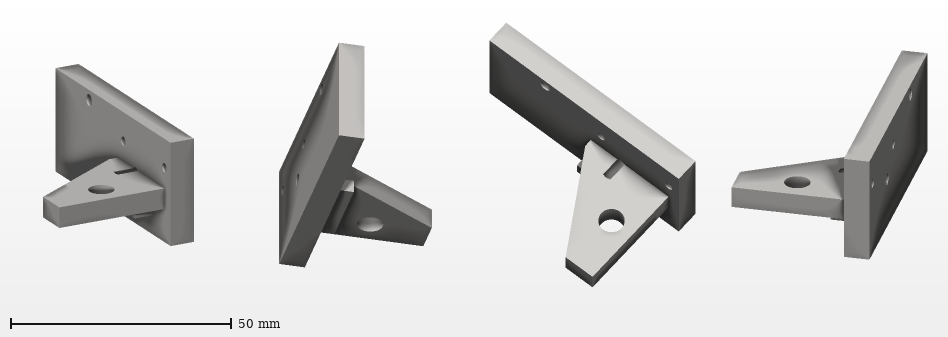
import cadquery as cq
import math

plate_length = 56.0
plate_thickness = 6.0
plate_height = 25.0

total_depth = 33.0

shelf_left = 30.0
shelf_right = 53.0
shelf_depth = total_depth - plate_thickness
shelf_top = plate_height - 12.0
shelf_thickness = 5.0
shelf_bottom = shelf_top - shelf_thickness
shelf_side_depth = 2.0
shelf_tip_left = 45.0
shelf_hole_diameter = 6.0
shelf_hole_x = 47.0
shelf_hole_y = -13.05

rib_length = 18.05
rib_depth = 5.0
rib_height = 3.0

large_hole_diameter = 2.8
large_hole_x = 16.4
large_hole_z = plate_height - 2.45
small_hole_diameter = 2.2
small_hole_z = plate_height - 7.0
small_hole_right_x = shelf_right
small_hole_spacing = 20.0

groove_diameter = 2.8
groove_x = 38.9
groove_z = shelf_top - 0.9
groove_length = 5.05
drill_tip_angle = 130.0


def bore_along_y(x, z, diameter, front_y):
    """Cylinder from the back of the plate to front_y."""
    return (
        cq.Workplane("XZ", origin=(x, plate_thickness, z))
        .circle(diameter / 2)
        .extrude(plate_thickness - front_y)
    )


def make_drill_tip():
    """Cone that closes the front end of the groove."""
    radius = groove_diameter / 2
    tip_length = radius / math.tan(math.radians(drill_tip_angle / 2))
    return cq.Workplane(
        cq.Solid.makeCone(
            radius,
            0,
            tip_length,
            pnt=cq.Vector(groove_x, -groove_length, groove_z),
            dir=cq.Vector(0, -1, 0),
        )
    )


def make_plate():
    return cq.Workplane("XY").box(plate_length, plate_thickness, plate_height, centered=False)


def make_shelf():
    outline = [
        (shelf_left, 0),
        (shelf_left, -shelf_side_depth),
        (shelf_tip_left, -shelf_depth),
        (shelf_right, -shelf_depth),
        (shelf_right, 0),
    ]
    shelf = (
        cq.Workplane("XY", origin=(0, 0, shelf_bottom))
        .polyline(outline)
        .close()
        .extrude(shelf_thickness)
    )
    hole = (
        cq.Workplane("XY", origin=(shelf_hole_x, shelf_hole_y, shelf_bottom))
        .circle(shelf_hole_diameter / 2)
        .extrude(shelf_thickness)
    )
    return shelf.cut(hole)


def make_rib():
    return (
        cq.Workplane("XY", origin=(shelf_left, -rib_depth, shelf_bottom - rib_height))
        .box(rib_length, rib_depth, rib_height, centered=False)
    )


result = make_plate().union(make_shelf()).union(make_rib())
result = result.cut(bore_along_y(large_hole_x, large_hole_z, large_hole_diameter, 0))
for small_hole_x in (small_hole_right_x - small_hole_spacing, small_hole_right_x):
    result = result.cut(bore_along_y(small_hole_x, small_hole_z, small_hole_diameter, 0))
result = result.cut(bore_along_y(groove_x, groove_z, groove_diameter, -groove_length))
result = result.cut(make_drill_tip())